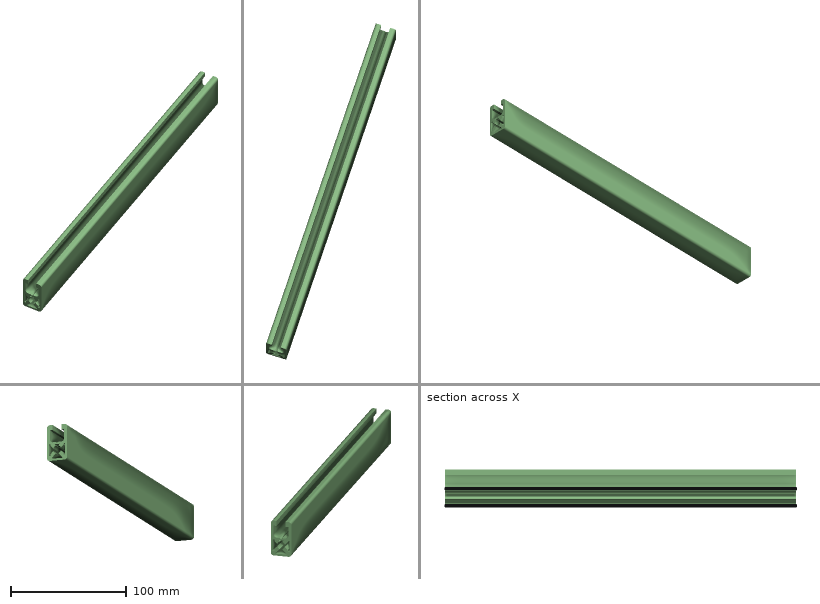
import cadquery as cq
import math

LENGTH = 304.8
WIDTH = 18.5
HEIGHT = 32.0
CORNER_RADIUS = 2.5

SLOT_WIDTH = 8.2
LIP_THICKNESS = 4.5
CHANNEL_WIDTH = 13.5
CHANNEL_FLOOR = 16.5
CHANNEL_RADIUS = 3.0
GROOVE_WIDTH = 2.0
GROOVE_DEPTH = 1.0

CHAMBER_WIDTH = 15.2
CHAMBER_ROOF = 14.5
BOTTOM_WALL = 1.8

PORT_CENTER = 9.8
PORT_RADIUS = 3.7
ARM_TIP_ANGLE = 18.0
ARM_OUTER_X = 6.0
ARM_ROOT_RISE = 5.2
LOWER_ARM_INNER_X = 5.0
UPPER_ARM_INNER_X = 2.0


def box(width, bottom, top):
    """Full-length bar, centered on X and Y, between two heights."""
    return cq.Workplane("XY").box(width, LENGTH, top - bottom).translate((0, 0, (bottom + top) / 2))


def extrude_outline(outline):
    """Extrude a closed XZ outline over the length, centered on Y."""
    return outline.extrude(LENGTH / 2, both=True)


def make_channel():
    """Wide channel with rounded floor corners, slot mouth and V-groove."""
    channel = box(CHANNEL_WIDTH, CHANNEL_FLOOR, HEIGHT - LIP_THICKNESS)
    channel = channel.faces("<Z").edges("|Y").fillet(CHANNEL_RADIUS)
    mouth = box(SLOT_WIDTH, HEIGHT - LIP_THICKNESS, HEIGHT)
    groove = extrude_outline(
        cq.Workplane("XZ")
        .moveTo(-GROOVE_WIDTH / 2, CHANNEL_FLOOR)
        .lineTo(0, CHANNEL_FLOOR - GROOVE_DEPTH)
        .lineTo(GROOVE_WIDTH / 2, CHANNEL_FLOOR)
        .close()
    )
    return channel.union(mouth).union(groove)


def make_lower_arm(inner_x):
    """Right-hand lower arm, filled down to the rail's bottom corner."""
    tip_angle = math.radians(ARM_TIP_ANGLE)
    tip_far = PORT_RADIUS * math.cos(tip_angle)
    tip_near = PORT_RADIUS * math.sin(tip_angle)
    tip_mid = PORT_RADIUS * math.sqrt(0.5)
    inner_drop = tip_far + inner_x - tip_near
    outer_drop = tip_near + ARM_OUTER_X - tip_far
    return extrude_outline(
        cq.Workplane("XZ")
        .moveTo(tip_far, PORT_CENTER - tip_near)
        .threePointArc((tip_mid, PORT_CENTER - tip_mid), (tip_near, PORT_CENTER - tip_far))
        .lineTo(inner_x, PORT_CENTER - inner_drop)
        .lineTo(inner_x, 0)
        .lineTo(CHAMBER_WIDTH / 2, 0)
        .lineTo(CHAMBER_WIDTH / 2, PORT_CENTER - ARM_ROOT_RISE)
        .lineTo(ARM_OUTER_X, PORT_CENTER - ARM_ROOT_RISE)
        .lineTo(ARM_OUTER_X, PORT_CENTER - outer_drop)
        .close()
    )


def make_chamber():
    """Lower chamber void with the four screw-port arms left standing."""
    chamber = box(CHAMBER_WIDTH, BOTTOM_WALL, CHAMBER_ROOF)
    lower_right = make_lower_arm(LOWER_ARM_INNER_X)
    upper_right = make_lower_arm(UPPER_ARM_INNER_X).mirror("XY", (0, 0, PORT_CENTER))
    for arm in (lower_right, upper_right):
        chamber = chamber.cut(arm).cut(arm.mirror("YZ"))
    return chamber


body = box(WIDTH, 0, HEIGHT).edges("|Y").fillet(CORNER_RADIUS)
rail = body.cut(make_channel()).cut(make_chamber())
result = rail.translate((0, 0, -HEIGHT / 2))